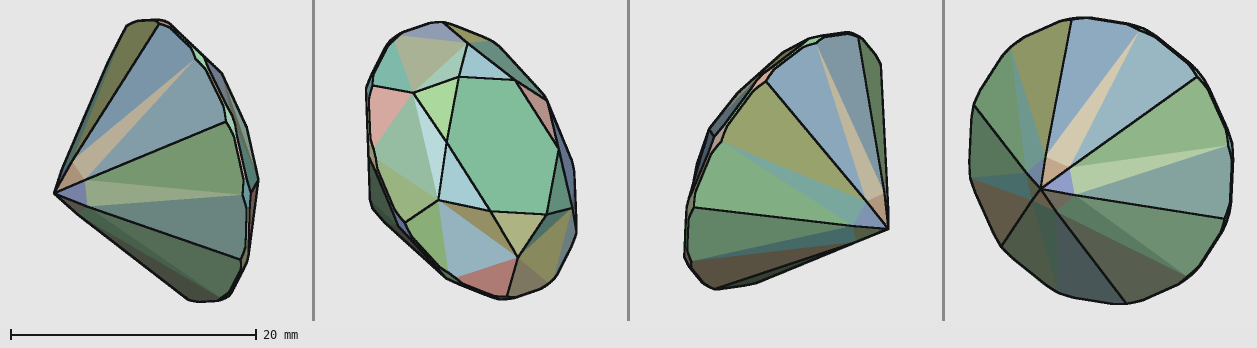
import cadquery as cq
import math

FOLDS = 6
STEP = 360 / FOLDS
TURN = 12.0

TABLE_Y = 3.65
CROWN_RING_Y = 2.5
GIRDLE_HALF = 0.15
PAVILION_RING_Y = -9.63
TIP_Y = -11.58

TABLE_RADIUS = 6.74
CROWN_RING_RADIUS = 9.3
PAVILION_RING_RADIUS = 2.3

SPAN = 23.72
FLAT_HALF_ANGLE = 8.5
OUTERMOST_AZIMUTH = TURN - STEP / 4 + FLAT_HALF_ANGLE
GIRDLE_RADIUS = SPAN / 2 / math.cos(math.radians(OUTERMOST_AZIMUTH))
FLAT_DISTANCE = GIRDLE_RADIUS * math.cos(math.radians(FLAT_HALF_ANGLE))
CROWN_MAIN_EDGE_Y = 0.28

BLOCK = 71.15

HALF_SIDE = math.cos(math.radians(STEP / 2))
QUARTER_SIDE = math.cos(math.radians(STEP / 4))


def polar_point(radius, azimuth, y):
    angle = math.radians(azimuth)
    return cq.Vector(radius * math.cos(angle), y, radius * math.sin(angle))


def ring(radius, first_azimuth, y):
    return [polar_point(radius, first_azimuth + i * STEP, y) for i in range(FOLDS)]


def polyhedron(faces):
    shells = [cq.Face.makeFromWires(cq.Wire.makePolygon(points, close=True)) for points in faces]
    return cq.Workplane(cq.Solid.makeSolid(cq.Shell.makeShell(shells)))


def cut_facets(body, count, first_azimuth, start, end):
    """Cut evenly spaced flats whose (distance, y) profile runs from start to end, going up."""
    run, rise = end[0] - start[0], end[1] - start[1]
    for i in range(count):
        azimuth = first_azimuth + i * 360 / count
        origin = polar_point(start[0], azimuth, start[1])
        normal = polar_point(rise, azimuth, -run)
        across = polar_point(1, azimuth + 90, 0)
        block = cq.Workplane(cq.Plane(origin, across, normal)).rect(BLOCK, BLOCK).extrude(BLOCK)
        body = body.cut(block)
    return body


def make_body():
    """Everything between the crown ring and the pavilion ring."""
    body = (
        cq.Workplane("XZ", origin=(0, CROWN_RING_Y, 0))
        .circle(GIRDLE_RADIUS)
        .extrude(CROWN_RING_Y - PAVILION_RING_Y)
    )
    flat_low = (FLAT_DISTANCE, -GIRDLE_HALF)
    flat_high = (FLAT_DISTANCE, GIRDLE_HALF)
    half_facet = TURN + STEP / 4
    body = cut_facets(body, 2 * FOLDS, half_facet, flat_low, flat_high)

    ring_low = (PAVILION_RING_RADIUS * QUARTER_SIDE, PAVILION_RING_Y)
    body = cut_facets(body, 2 * FOLDS, half_facet, ring_low, flat_low)

    slope = (flat_low[1] - ring_low[1]) / (flat_low[0] - ring_low[0])
    meet_y = flat_low[1] - slope * (FLAT_DISTANCE - GIRDLE_RADIUS * QUARTER_SIDE)
    main_low = (PAVILION_RING_RADIUS * HALF_SIDE, PAVILION_RING_Y)
    body = cut_facets(body, FOLDS, TURN, main_low, (GIRDLE_RADIUS, meet_y))

    ring_high = (CROWN_RING_RADIUS * QUARTER_SIDE, CROWN_RING_Y)
    body = cut_facets(body, 2 * FOLDS, half_facet, flat_high, ring_high)

    main_high = (CROWN_RING_RADIUS * HALF_SIDE, CROWN_RING_Y)
    return cut_facets(body, FOLDS, TURN + STEP / 2, (GIRDLE_RADIUS, CROWN_MAIN_EDGE_Y), main_high)


def make_table_crown():
    """Triangles joining the table to the crown ring, which is turned by half a step."""
    low = ring(CROWN_RING_RADIUS, TURN, CROWN_RING_Y)
    high = ring(TABLE_RADIUS, TURN + STEP / 2, TABLE_Y)
    faces = [low, high]
    for i in range(FOLDS):
        following = (i + 1) % FOLDS
        faces.append([low[i], low[following], high[i]])
        faces.append([high[i], high[following], low[following]])
    return polyhedron(faces)


def make_tip():
    """Six-sided pyramid below the pavilion ring."""
    base = ring(PAVILION_RING_RADIUS, TURN + STEP / 2, PAVILION_RING_Y)
    tip = cq.Vector(0, TIP_Y, 0)
    sides = [[base[i], base[(i + 1) % FOLDS], tip] for i in range(FOLDS)]
    return polyhedron([base] + sides)


result = make_body().union(make_table_crown()).union(make_tip())